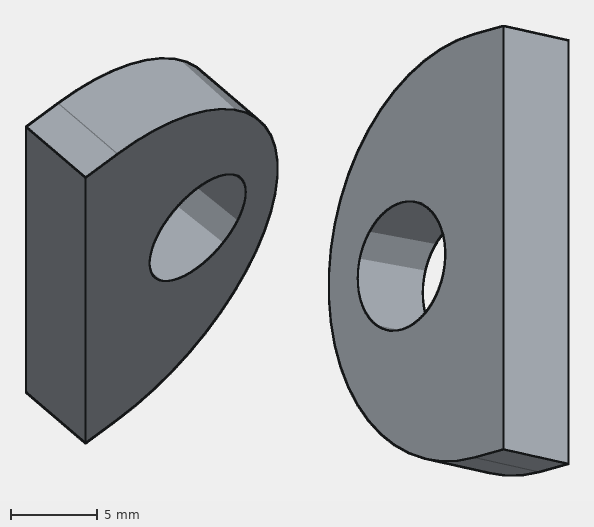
import cadquery as cq

thickness = 5.08
height = 25.4
straight_depth = 2.55
hole_diameter = 7.62
hole_from_flat = 8.9

round_radius = height / 2

plate = (
    cq.Workplane("YZ")
    .moveTo(0, -round_radius)
    .lineTo(straight_depth, -round_radius)
    .threePointArc((straight_depth + round_radius, 0), (straight_depth, round_radius))
    .lineTo(0, round_radius)
    .close()
    .extrude(thickness)
)

hole = (
    cq.Workplane("YZ")
    .center(hole_from_flat, 0)
    .circle(hole_diameter / 2)
    .extrude(thickness)
)

result = plate.cut(hole)